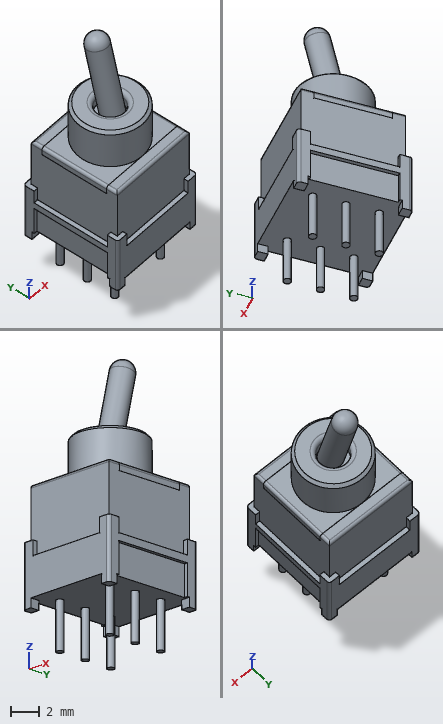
import cadquery as cq
import math


base_width = 8.79
base_corner_radius = 0.25
foot_height = 0.75
foot_width = 0.8
shelf_z = 3.9
post_top_z = 5.1
post_gap_width = 6.8
panel_top_z = 3.3
panel_width = post_gap_width
panel_depth = 0.3

housing_width = 8.0
housing_top_z = 9.5
housing_edge_radius = 0.25

bushing_radius = 3.0
bushing_top_z = 13.0
bushing_chamfer = 0.25
plate_width = 2 * bushing_radius
plate_thickness = 0.7
bore_radius = 1.25
bore_rim_radius = 0.4
bore_depth = 1.1

lever_radius = 0.965
lever_tilt = 13
lever_tip_z = 19.21
lever_socket_length = 1.0

pin_radius = 0.3
pin_pitch = 2.54
pin_length = 3.15
pin_columns = (-pin_pitch, pin_pitch)
pin_rows = (-pin_pitch, 0, pin_pitch)
pin_positions = [(x, y) for x in pin_columns for y in pin_rows]
pin_insertion = 1.0


def block(size_x, size_y, bottom_z, top_z):
    """Box centred on the Z axis between two heights."""
    return cq.Workplane("XY", origin=(0, 0, bottom_z)).rect(size_x, size_y).extrude(top_z - bottom_z)


def make_pin(x, y):
    """Round terminal hanging below the seating plane and ending inside the base."""
    pin_height = pin_length + foot_height + pin_insertion
    return cq.Workplane("XY", origin=(x, y, -pin_length)).circle(pin_radius).extrude(pin_height)


def make_lever():
    """Round-ended lever, tilted towards +Y about the centre of the bushing mouth."""
    tilt = math.radians(lever_tilt)
    length_above = (lever_tip_z - lever_radius - bushing_top_z) / math.cos(tilt)
    length_below = bore_depth / math.cos(tilt) + lever_socket_length
    shaft = cq.Workplane("XY").circle(lever_radius).extrude(length_above + length_below)
    tip = cq.Workplane("XY", origin=(0, 0, length_above + length_below)).sphere(lever_radius)
    upright = shaft.union(tip).translate((0, 0, -length_below))
    tilted = upright.rotate((0, 0, 0), (1, 0, 0), -lever_tilt)
    return tilted.translate((0, 0, bushing_top_z))


def make_cover():
    """Filleted block that the housing and the bushing plate are both taken from."""
    cover = block(housing_width, housing_width, shelf_z, housing_top_z)
    return cover.faces(">Z").edges().fillet(housing_edge_radius)


def make_plate_space():
    """Full-width channel across the top of the housing, along X."""
    return block(housing_width, plate_width, housing_top_z - plate_thickness, housing_top_z)


def make_housing():
    """Housing on the base shelf, with a channel for the bushing plate."""
    return make_cover().cut(make_plate_space())


def make_bushing(lever):
    """Bored collar on a plate flush with the housing, with a socket for the lever."""
    plate = make_cover().intersect(make_plate_space())
    collar = (
        cq.Workplane("XY", origin=(0, 0, housing_top_z - plate_thickness))
        .circle(bushing_radius)
        .extrude(bushing_top_z - housing_top_z + plate_thickness)
        .faces(">Z")
        .edges()
        .chamfer(bushing_chamfer)
    )
    bored_collar = (
        collar.faces(">Z")
        .workplane()
        .hole(2 * bore_radius, bore_depth)
        .faces(">Z")
        .edges(cq.selectors.RadiusNthSelector(0))
        .fillet(bore_rim_radius)
    )
    return plate.union(bored_collar).cut(lever)


def make_base(pins):
    """Base with corner posts around the housing, corner feet and a recessed panel on each X side."""
    base = block(base_width, base_width, 0, post_top_z).edges("|Z").fillet(base_corner_radius)

    base = base.cut(block(housing_width, housing_width, shelf_z, post_top_z))
    base = base.cut(block(base_width, post_gap_width, shelf_z, post_top_z))
    base = base.cut(block(post_gap_width, base_width, shelf_z, post_top_z))

    foot_gap = base_width - 2 * foot_width
    base = base.cut(block(base_width, foot_gap, 0, foot_height))
    base = base.cut(block(foot_gap, base_width, 0, foot_height))

    for side in (-1, 1):
        recess_x = side * (base_width - panel_depth) / 2
        recess = block(panel_depth, panel_width, foot_height, panel_top_z)
        base = base.cut(recess.translate((recess_x, 0, 0)))

    for pin in pins:
        base = base.cut(pin)
    return base


pins = [make_pin(x, y) for x, y in pin_positions]
lever = make_lever()
housing = make_housing()
bushing = make_bushing(lever)
base = make_base(pins)

bodies = [base, housing, bushing, lever, *pins]

result = cq.Compound.makeCompound([body.solids().val() for body in bodies])